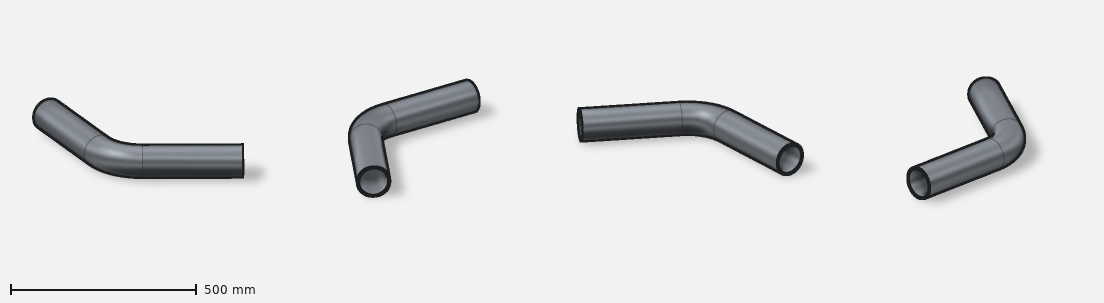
import cadquery as cq
import math

overall_length = 564.0
outer_diameter = 90.0
inner_diameter = 79.0
bend_radius = 135.5
bend_angle = 60.0

outer_radius = outer_diameter / 2
bend_cos = math.cos(math.radians(bend_angle))
bend_sin = math.sin(math.radians(bend_angle))
leg_length = (overall_length - (bend_radius + outer_radius) * bend_sin) / (1 + bend_cos)


def point_on_bend(angle):
    """Centreline point after turning through the given angle in degrees."""
    turn = math.radians(angle)
    return (
        leg_length + bend_radius * math.sin(turn),
        bend_radius * (1 - math.cos(turn)),
    )


bend_end = point_on_bend(bend_angle)
far_end = (bend_end[0] + leg_length * bend_cos, bend_end[1] + leg_length * bend_sin)
centreline = (
    cq.Workplane("XY")
    .lineTo(leg_length, 0)
    .threePointArc(point_on_bend(bend_angle / 2), bend_end)
    .lineTo(*far_end)
)

result = (
    cq.Workplane("YZ")
    .circle(outer_radius)
    .circle(inner_diameter / 2)
    .sweep(centreline)
)